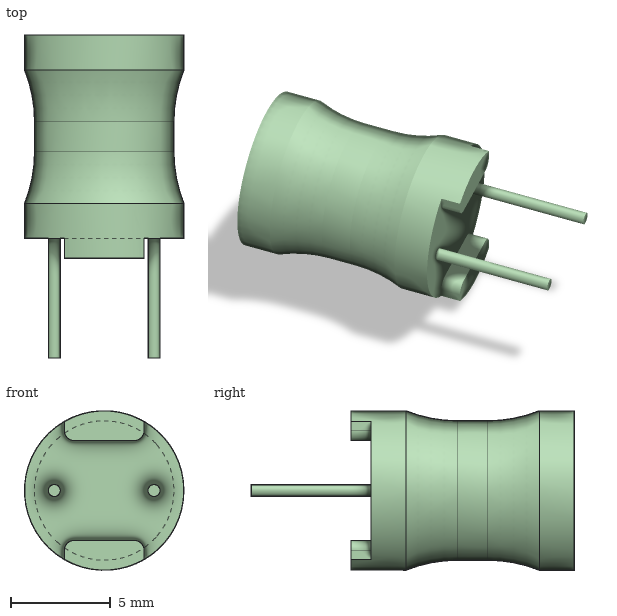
import cadquery as cq
import math

core_radius = 4.0
waist_radius = 3.5
flange_length = 1.75
neck_length = 2.6
waist_length = 1.5

foot_height = 1.0
foot_width = 4.0
foot_inner_z = 2.5
foot_corner_radius = 0.5

pin_diameter = 0.6
pin_spacing = 5.0
pin_length = 6.0

front_neck_start = flange_length
waist_start = front_neck_start + neck_length
waist_end = waist_start + waist_length
rear_neck_end = waist_end + neck_length
core_length = rear_neck_end + flange_length

neck_rise = core_radius - waist_radius
neck_arc_radius = (neck_length**2 + neck_rise**2) / (2 * neck_rise)


def neck_radius_at(distance_from_waist):
    """Core radius on the neck arc at an axial distance from the waist."""
    return waist_radius + neck_arc_radius - math.sqrt(neck_arc_radius**2 - distance_from_waist**2)


def make_core():
    half_neck = neck_length / 2
    mid_neck_radius = neck_radius_at(half_neck)
    profile = (
        cq.Workplane("XY")
        .lineTo(core_radius, 0)
        .lineTo(core_radius, front_neck_start)
        .threePointArc((mid_neck_radius, waist_start - half_neck), (waist_radius, waist_start))
        .lineTo(waist_radius, waist_end)
        .threePointArc((mid_neck_radius, waist_end + half_neck), (core_radius, rear_neck_end))
        .lineTo(core_radius, core_length)
        .lineTo(0, core_length)
        .close()
    )
    return profile.revolve(360, (0, 0, 0), (0, 1, 0))


def make_foot(side):
    """Foot at the +Z (side = 1) or -Z (side = -1) rim, trimmed to the core's outline."""
    block_depth = core_radius - foot_inner_z
    block_center_z = side * (core_radius + foot_inner_z) / 2
    inner_face = "<Z" if side > 0 else ">Z"
    block = (
        cq.Workplane("XY")
        .box(foot_width, foot_height, block_depth)
        .faces(inner_face)
        .edges("|Y")
        .fillet(foot_corner_radius)
        .translate((0, -foot_height / 2, block_center_z))
    )
    rim = cq.Workplane("XZ").circle(core_radius).extrude(foot_height)
    return block.intersect(rim)


def make_pins():
    return (
        cq.Workplane("XZ")
        .pushPoints([(-pin_spacing / 2, 0), (pin_spacing / 2, 0)])
        .circle(pin_diameter / 2)
        .extrude(pin_length)
    )


result = make_core().union(make_pins())
for side in (1, -1):
    result = result.union(make_foot(side))